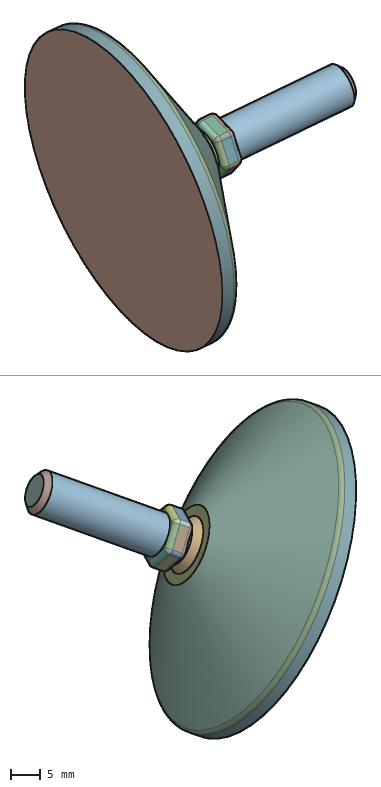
import cadquery as cq
import math


pad_radius = 30.0
pad_height = 15.0
rim_height = 3.0
pad_top_radius = 7.2
rim_fillet = 1.0

total_height = 46.0
stem_radius = 4.0
tip_chamfer = 1.1
ball_radius = 6.0
ball_center_height = 12.0

hex_across_flats = 10.0
hex_bottom = 17.0
hex_top = 21.0
hex_fillet = 1.0


def axial_plane(height):
    """Plane across the axis at a height above the pad's underside, facing +Y."""
    return cq.Plane(origin=(0, height, 0), xDir=(1, 0, 0), normal=(0, 1, 0))


def make_ball():
    return cq.Workplane("XY").sphere(ball_radius).translate((0, ball_center_height, 0))


def make_pad():
    """Conical pad with a rounded rim and a socket that fits the ball."""
    profile = [
        (0, 0),
        (pad_radius, 0),
        (pad_radius, rim_height),
        (pad_top_radius, pad_height),
        (0, pad_height),
    ]
    cone = cq.Workplane("XY").polyline(profile).close().revolve(360, (0, 0, 0), (0, 1, 0))
    rim_corner = cq.selectors.NearestToPointSelector((0, rim_height, 0))
    return cone.edges(rim_corner).fillet(rim_fillet).cut(make_ball())


def make_hex_collar():
    """Hexagon with all edges rounded, corners on the X axis and flats facing Z."""
    corner_circle_diameter = hex_across_flats / math.cos(math.pi / 6)
    hexagon = cq.Workplane(axial_plane(hex_bottom)).polygon(6, corner_circle_diameter)
    return hexagon.extrude(hex_top - hex_bottom).edges().fillet(hex_fillet)


def make_stem():
    """Rod with a chamfered tip, hexagon collar and ball end, as one solid."""
    rod = (
        cq.Workplane(axial_plane(ball_center_height))
        .circle(stem_radius)
        .extrude(total_height - ball_center_height)
        .faces(">Y")
        .chamfer(tip_chamfer)
    )
    return rod.union(make_hex_collar()).union(make_ball())


pad = make_pad()
stem = make_stem()

result = cq.Compound.makeCompound([pad.val(), stem.val()])